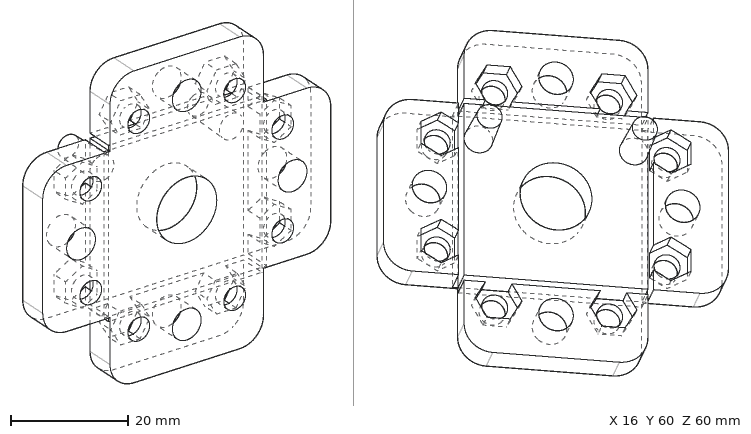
import cadquery as cq
import math

span = 60.0
core_side = 32.0
plate_thickness = 6.0
corner_radius = 5.0

groove_width = 0.95
web_thickness = 0.5

core_hole_diameter = 12.5
flap_hole_diameter = 6.0
flap_hole_offset = 22.0
bolt_hole_diameter = 4.5
bolt_offset = 20.0
bolt_spacing = 20.0

nut_across_flats = 7.0
nut_across_corners = nut_across_flats / math.cos(math.pi / 6)
nut_pocket_depth = 3.5

pin_length = 10.0
pin_base_diameter = 5.0
pin_tip_diameter = 4.4
pin_height = 9.5

FLAP_ANGLES = (0, 90, 180, 270)


def front_plane():
    """Sketch plane on the front face: local x is +Y, local y is +Z, normal is +X."""
    return cq.Workplane("YZ")


def make_bar():
    """Upright bar that forms the core and two opposite flaps."""
    return front_plane().rect(core_side, span).extrude(plate_thickness).edges("|X").fillet(corner_radius)


def around_core(shape, angle):
    """Turn a shape about the X axis through the plate centre."""
    return shape.rotate((0, 0, 0), (1, 0, 0), angle)


def make_flap_cutters():
    """Cutters of the upper flap: groove, centre hole, bolt holes and nut pockets."""
    bolt_points = [(side * bolt_spacing / 2, bolt_offset) for side in (-1, 1)]
    groove = (
        front_plane()
        .center(0, (core_side + groove_width) / 2)
        .rect(core_side, groove_width)
        .extrude(plate_thickness - web_thickness)
    )
    flap_hole = (
        front_plane()
        .center(0, flap_hole_offset)
        .circle(flap_hole_diameter / 2)
        .extrude(plate_thickness)
    )
    bolt_holes = (
        front_plane()
        .pushPoints(bolt_points)
        .circle(bolt_hole_diameter / 2)
        .extrude(plate_thickness)
    )
    nut_pockets = (
        front_plane()
        .pushPoints(bolt_points)
        .polygon(6, nut_across_corners)
        .extrude(nut_pocket_depth)
    )
    return groove, flap_hole, bolt_holes, nut_pockets


def make_pin(side):
    """Tapered pin on the left or right edge of the core, rooted on the front face."""
    center_y = side * (core_side - pin_base_diameter) / 2
    return (
        front_plane()
        .center(center_y, pin_height)
        .circle(pin_base_diameter / 2)
        .workplane(offset=-pin_length)
        .circle(pin_tip_diameter / 2)
        .loft()
    )


bar = make_bar()
plate = bar.union(around_core(bar, 90))
plate = plate.cut(front_plane().circle(core_hole_diameter / 2).extrude(plate_thickness))

for cutter in make_flap_cutters():
    for angle in FLAP_ANGLES:
        plate = plate.cut(around_core(cutter, angle))

result = plate
for side in (-1, 1):
    result = result.union(make_pin(side))